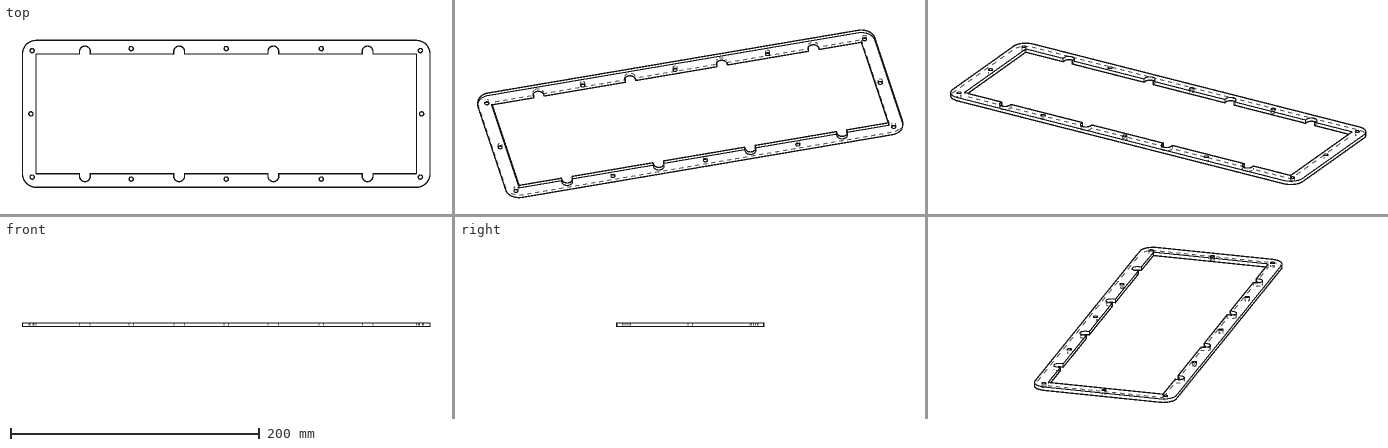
import cadquery as cq

length = 328.0
width = 118.5
thickness = 3.0
rail_width = 11.0
corner_radius = 11.0
window_length = length - 2 * rail_width
window_width = width - 2 * rail_width

notch_width = 8.5
notch_pitch = 75.7
notch_count = 4
notch_tip_y = 54.5

hole_diameter = 3.3
rail_hole_pitch = 76.5
rail_hole_y = 52.5
end_hole_x = 157.0
corner_hole_x = 156.0
corner_hole_y = 50.8


def make_frame():
    """Rounded rectangular plate with a sharp-cornered window."""
    plate = cq.Workplane("XY").rect(length, width).extrude(thickness)
    plate = plate.edges("|Z").fillet(corner_radius)
    window = cq.Workplane("XY").rect(window_length, window_width).extrude(thickness)
    return plate.cut(window)


def make_notches():
    """Slots crossing the window, each cutting one notch in both long rails."""
    first_x = -notch_pitch * (notch_count - 1) / 2
    centres = [(first_x + i * notch_pitch, 0) for i in range(notch_count)]
    slots = cq.Workplane("XY").pushPoints(centres)
    return slots.slot2D(2 * notch_tip_y, notch_width, 90).extrude(thickness)


def make_holes():
    """Three holes per long rail, one per short rail and one per corner."""
    centres = [(-end_hole_x, 0), (end_hole_x, 0)]
    for side in (-1, 1):
        for step in (-1, 0, 1):
            centres.append((step * rail_hole_pitch, side * rail_hole_y))
        for end in (-1, 1):
            centres.append((end * corner_hole_x, side * corner_hole_y))
    return cq.Workplane("XY").pushPoints(centres).circle(hole_diameter / 2).extrude(thickness)


result = make_frame().cut(make_notches()).cut(make_holes())